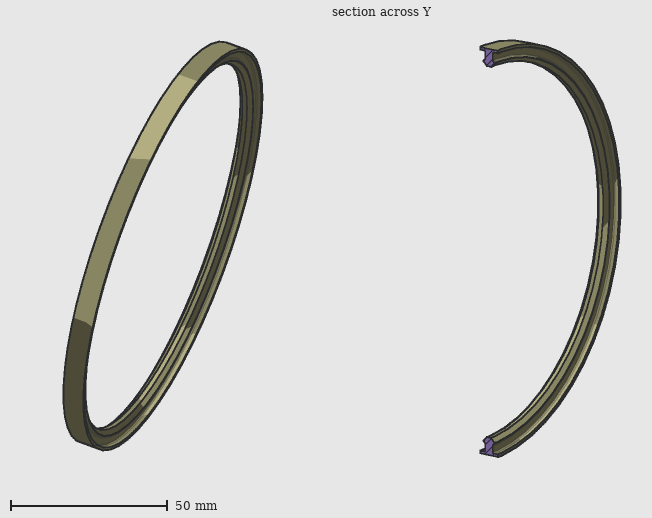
import cadquery as cq
import math

width = 7.0
outer_diameter = 136.0
recess_diameter = 134.0
bore_diameter = 124.0
land_width = 1.6
recess_depth = 1.95
fillet_radius = 0.4
lip_height = 0.7
crest_width = 0.15
flank_angle = math.radians(45)

half_width = width / 2
outer_radius = outer_diameter / 2
recess_radius = recess_diameter / 2
bore_radius = bore_diameter / 2

land_edge = land_width / 2
floor_position = half_width - recess_depth
crest_position = floor_position + lip_height

crest_inner_radius = bore_radius + (crest_position - land_edge) / math.tan(flank_angle)
crest_outer_radius = crest_inner_radius + crest_width
lip_root_radius = crest_outer_radius + lip_height / math.tan(flank_angle)

root_setback = fillet_radius * math.tan(flank_angle / 2)
root_rise = root_setback * math.sin(flank_angle)
root_run = root_setback * math.cos(flank_angle)


def plain_ring():
    """Rectangular-section ring before the faces are cut."""
    return (
        cq.Workplane("YZ", origin=(-half_width, 0, 0))
        .circle(outer_radius)
        .circle(bore_radius)
        .extrude(width)
    )


def face_recess():
    """Material removed from the -X face, leaving the rim and the lip; drawn as (x, radius)."""
    return (
        cq.Workplane("XY")
        .moveTo(-half_width, bore_radius)
        .lineTo(-half_width, recess_radius)
        .lineTo(-floor_position - fillet_radius, recess_radius)
        .tangentArcPoint((-floor_position, recess_radius - fillet_radius), relative=False)
        .lineTo(-floor_position, lip_root_radius + root_setback)
        .tangentArcPoint((-floor_position - root_rise, lip_root_radius - root_run), relative=False)
        .lineTo(-crest_position, crest_outer_radius)
        .lineTo(-crest_position, crest_inner_radius)
        .lineTo(-land_edge, bore_radius)
        .close()
        .revolve(360, (0, 0, 0), (1, 0, 0))
    )


recess = face_recess()
result = plain_ring().cut(recess).cut(recess.mirror("YZ"))